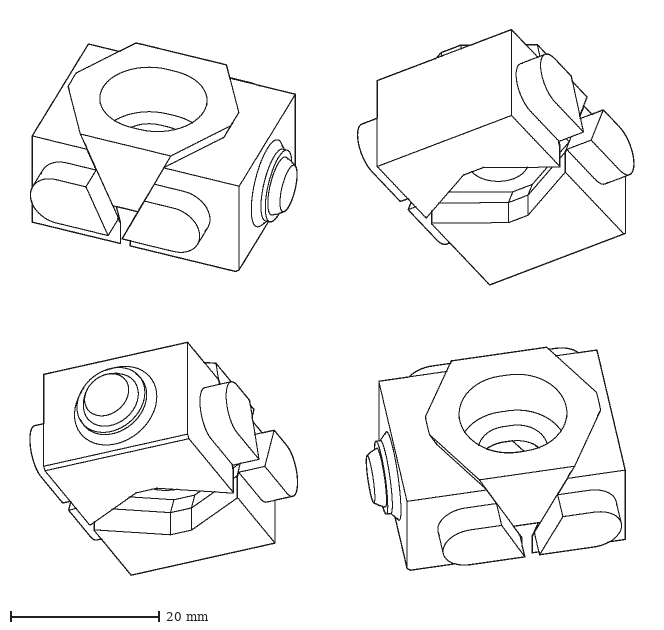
import cadquery as cq
import math

TOTAL_HEIGHT = 17.25
JAW_HEIGHT = 14.98
JAW_DEPTH = 21.12
LEFT_FACE_X = -13.45
RIGHT_FACE_X = 16.47
EDGE_CHAMFER = 0.45

FLANK_ANGLE = 23.0
WEDGE_DEPTH = 20.92
WEDGE_END_HALF = 6.55
WEDGE_SIDE_HALF = 11.75
WEDGE_SIDE_FLAT = 3.07
WEDGE_BOTTOM_Z = 6.17

GAP_HALF = 0.7
FLANK_SLOPE = math.tan(math.radians(FLANK_ANGLE))
GAP_TOP_Z = TOTAL_HEIGHT - (WEDGE_END_HALF - GAP_HALF) / FLANK_SLOPE

HOLE_WIDTH = 8.2
BORE_WIDTH = 13.33
HOLE_STRETCH = 1.22
BORE_DEPTH = 7.72

LUG_RADIUS = 3.75
LUG_CENTER_X = 8.48
LUG_CENTER_Z = 8.0
TOTAL_DEPTH = 28.8

BUTTON_LENGTH = 33.0 + LEFT_FACE_X - RIGHT_FACE_X
FLARE_RADIUS = 6.05
RING_RADIUS = 4.98
RING_START = 1.0
RING_END = 1.62
NOSE_RADIUS = 4.03
TIP_RADIUS = 3.25
NOSE_BULGE = 0.1


def inset_at(z):
    """Inward shift of each sloping flank at height z, measured from the top."""
    return (TOTAL_HEIGHT - z) * FLANK_SLOPE


def octagon(z, inset):
    """Octagonal wire at height z with every corner moved inward in X by inset."""
    end_x = WEDGE_END_HALF - inset
    side_x = WEDGE_SIDE_HALF - inset
    end_y = WEDGE_DEPTH / 2
    side_y = WEDGE_SIDE_FLAT / 2
    quarter = [(side_x, side_y), (end_x, end_y)]
    right = [(x, -y) for x, y in quarter[::-1]] + quarter
    left = [(-x, -y) for x, y in right]
    return cq.Wire.makePolygon([cq.Vector(x, y, z) for x, y in right + left], close=True)


def leaning_octagon(bottom_z):
    """Solid from bottom_z to the top, with all flanks leaning along X."""
    wires = [octagon(bottom_z, inset_at(bottom_z)), octagon(TOTAL_HEIGHT, 0)]
    return cq.Workplane(cq.Solid.makeLoft(wires, True))


def make_wedge():
    top = leaning_octagon(WEDGE_BOTTOM_Z).faces(">Z").workplane(origin=(0, 0, TOTAL_HEIGHT))
    bored = top.slot2D(BORE_WIDTH + HOLE_STRETCH, BORE_WIDTH).cutBlind(-BORE_DEPTH)
    drill = (
        cq.Workplane("XY")
        .slot2D(HOLE_WIDTH + HOLE_STRETCH, HOLE_WIDTH)
        .extrude(TOTAL_HEIGHT)
    )
    return bored.cut(drill)


def make_wedge_recess():
    """Space between the jaws: octagonal pocket plus a V slot running out through the lugs."""
    pocket = leaning_octagon(GAP_TOP_Z)
    gap_outline = octagon(0, inset_at(GAP_TOP_Z))
    gap = cq.Workplane(cq.Solid.extrudeLinear(gap_outline, [], cq.Vector(0, 0, GAP_TOP_Z)))
    half_profile = [(GAP_HALF, 0), (GAP_HALF, GAP_TOP_Z), (WEDGE_END_HALF, TOTAL_HEIGHT)]
    profile = half_profile + [(-x, z) for x, z in half_profile[::-1]]
    v_slot = cq.Workplane("XZ").polyline(profile).close().extrude(TOTAL_DEPTH / 2, both=True)
    return pocket.union(gap).union(v_slot)


def make_jaw(outer_x):
    """Block from the wedge axis to outer_x with one lug through it, cut to fit the wedge."""
    side = math.copysign(1, outer_x)
    block = cq.Workplane("XY").box(abs(outer_x), JAW_DEPTH, JAW_HEIGHT, centered=(True, True, False))
    block = block.translate((outer_x / 2, 0, 0))
    lug = (
        cq.Workplane("XZ")
        .moveTo(0, LUG_CENTER_Z - LUG_RADIUS)
        .lineTo(side * LUG_CENTER_X, LUG_CENTER_Z - LUG_RADIUS)
        .threePointArc(
            (side * (LUG_CENTER_X + LUG_RADIUS), LUG_CENTER_Z),
            (side * LUG_CENTER_X, LUG_CENTER_Z + LUG_RADIUS),
        )
        .lineTo(0, LUG_CENTER_Z + LUG_RADIUS)
        .close()
        .extrude(TOTAL_DEPTH / 2, both=True)
    )
    return block.union(lug).cut(make_wedge_recess())


def make_button():
    """Flared base, narrow ring and slightly domed nose, turned about an X axis."""
    nose_middle = ((RING_END + BUTTON_LENGTH) / 2, (NOSE_RADIUS + TIP_RADIUS) / 2 + NOSE_BULGE)
    return (
        cq.Workplane("XY")
        .lineTo(0, FLARE_RADIUS)
        .lineTo(RING_START, RING_RADIUS)
        .lineTo(RING_END, RING_RADIUS)
        .lineTo(RING_END, NOSE_RADIUS)
        .threePointArc(nose_middle, (BUTTON_LENGTH, TIP_RADIUS))
        .lineTo(BUTTON_LENGTH, 0)
        .close()
        .revolve(360, (0, 0, 0), (1, 0, 0))
        .translate((RIGHT_FACE_X, 0, JAW_HEIGHT / 2))
    )


def make_right_jaw():
    jaw = make_jaw(RIGHT_FACE_X).faces(">X").edges("<Z").chamfer(EDGE_CHAMFER)
    return jaw.union(make_button())


wedge = make_wedge()
left_jaw = make_jaw(LEFT_FACE_X)
right_jaw = make_right_jaw()

result = cq.Compound.makeCompound([body.solids().val() for body in (wedge, left_jaw, right_jaw)])